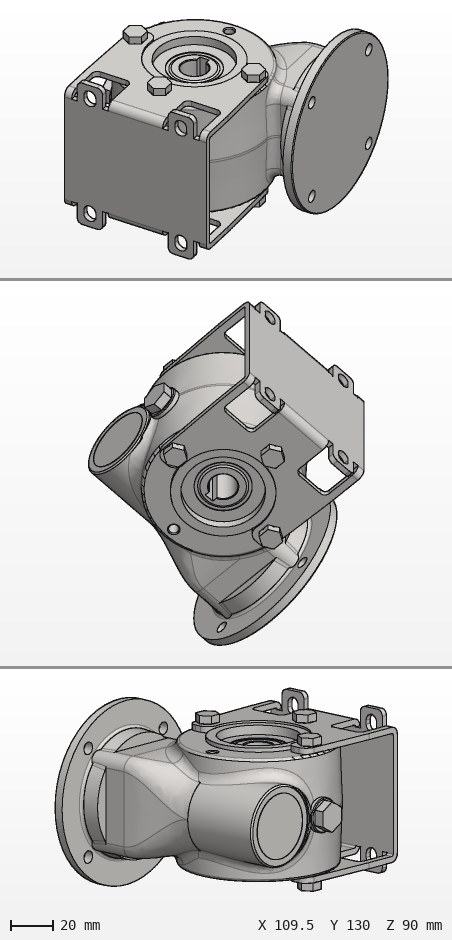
import cadquery as cq
import math


HOUSING_FACE_Z = 30.0
HOUSING_RADIUS = 39.8
HOUSING_DRAFT = 1.1
HOUSING_EDGE_FILLET = 1.3
PARTING_BAND = 1.2
PILOT_RADIUS = 25.0
PILOT_HEIGHT = 2.0
RECESS_DIAMETER = 40.0
RECESS_DEPTH = 4.6

SEAL_DIAMETER = 27.5
SHAFT_DIAMETER = 24.2
SEAL_GROOVE_DEPTH = 0.5
SHAFT_EDGE_CHAMFER = 1.1
BORE_DIAMETER = 14.0
BORE_CHAMFER = 0.4
KEYWAY_WIDTH = 5.0
KEYWAY_TOP = 9.3

BOLT_CIRCLE_RADIUS = 32.5
BOLT_ANGLES = (0, 180, 270)
THREAD_DIAMETER = 6.0
TAP_DIAMETER = 4.92
TAP_DEPTH = 10.0
DRILL_POINT_ANGLE = 118.0
BOLT_ACROSS_FLATS = 10.0
BOLT_HEAD_HEIGHT = 4.0
BOLT_FACE_DIAMETER = 8.9
BOLT_FACE_HEIGHT = 0.3

WORM_Y = 30.0
TUBE_RADIUS = 20.0
TUBE_END_X = -40.8
TUBE_EDGE_CHAMFER = 0.8
CAP_DIAMETER = 32.0
CAP_RECESS = 0.2
NECK_START_X = 36.4
NECK_HALF_WIDTH = 24.8
NECK_CORNER_RADIUS = 6.5
TRANSITION_STEPS = 4
ROUND_CORNER = 0.995 * TUBE_RADIUS
TUBE_BLEND = 6.0
NECK_BLEND = 5.0
EDGE_TOLERANCE = 0.3
EDGE_SAMPLES = (0.0, 0.3, 0.5, 0.8, 1.0)

FLANGE_FACE_X = 62.5
FLANGE_THICKNESS = 5.0
FLANGE_DIAMETER = 90.0
FLANGE_CHAMFER = 0.5
FLANGE_BOLT_CIRCLE = 75.0
FLANGE_HOLE_DIAMETER = 6.0
HUB_START_X = 47.8
HUB_START_RADIUS = 30.7
HUB_END_RADIUS = 31.4
HUB_FILLET = 1.4
HUB_CORNER_BLEND = 4.0

PLUG_END_X = -47.0
PLUG_COLLAR_X = -42.0
PLUG_ROOT_X = -38.0
PLUG_COLLAR_DIAMETER = 17.0
PLUG_COLLAR_CHAMFER = 0.5
PLUG_ACROSS_FLATS = 13.0

SHEET = 3.0
BEND_INNER = 1.0
BEND_OUTER = BEND_INNER + SHEET
BRACKET_HALF_WIDTH = 39.0
BRACKET_BACK_Y = -55.0
ARM_HALF_WIDTH = 38.0
ARM_TAPER_Y = -35.0
LOBE_TOP_Y = 7.8
LOBE_CORNER = 5.0
WINDOW_INNER_X = 15.0
WINDOW_OUTER_X = 35.0
WINDOW_TOP_Y = -33.0
WINDOW_CORNER = 3.0
TAB_X = 25.0
TAB_WIDTH = 14.0
TAB_END_Z = 40.0
TAB_CORNER = 3.0
SLOT_WIDTH = 6.5
SLOT_LENGTH = 8.5
SLOT_Z = 32.5

BRACKET_FACE_Z = HOUSING_FACE_Z + SHEET
FLANGE_BACK_X = FLANGE_FACE_X - FLANGE_THICKNESS


def section_at(x):
    """Plane across the worm axis at the given X; local x is +Y and local y is +Z."""
    return cq.Workplane("YZ", origin=(x, WORM_Y, 0))


def level(z):
    return cq.Workplane("XY", origin=(0, 0, z))


def hexagon(plane, across_flats, height):
    """Hexagonal prism with two corners on the local y axis."""
    corner_diameter = across_flats / math.cos(math.pi / 6)
    turned = plane.transformed(rotate=(0, 0, 90))
    return turned.polygon(6, corner_diameter).extrude(height)


def both_faces(shape):
    """The shape together with its mirror image below the mid plane."""
    return shape.union(shape.mirror("XY"))


def make_housing():
    """Drum that is drafted both ways from a narrow band at mid height."""
    half_band = PARTING_BAND / 2
    face_radius = HOUSING_RADIUS - HOUSING_DRAFT
    outline = [
        (0, -HOUSING_FACE_Z),
        (face_radius, -HOUSING_FACE_Z),
        (HOUSING_RADIUS, -half_band),
        (HOUSING_RADIUS, half_band),
        (face_radius, HOUSING_FACE_Z),
        (0, HOUSING_FACE_Z),
    ]
    drum = cq.Workplane("XZ").polyline(outline).close().revolve(360, (0, 0, 0), (0, 1, 0))
    return drum.rotate((0, 0, 0), (0, 0, 1), -90)


def rounded_square(half_width, corner_radius, offset=0.0):
    side = 2 * half_width
    square = cq.Sketch().rect(side, side).vertices().fillet(corner_radius)
    return square.moved(cq.Location(cq.Vector(0, 0, offset)))


def make_transition():
    """Smooth change from the round tube to the rounded-square neck."""
    sections = []
    for step in range(TRANSITION_STEPS + 1):
        t = step / TRANSITION_STEPS
        blend = t * t * (3 - 2 * t)
        half_width = TUBE_RADIUS + blend * (NECK_HALF_WIDTH - TUBE_RADIUS)
        corner = ROUND_CORNER + blend * (NECK_CORNER_RADIUS - ROUND_CORNER)
        sections.append(rounded_square(half_width, corner, t * NECK_START_X))
    return section_at(0).placeSketch(*sections).loft()


def make_neck():
    square = rounded_square(NECK_HALF_WIDTH, NECK_CORNER_RADIUS)
    neck = section_at(NECK_START_X).placeSketch(square)
    return neck.extrude(FLANGE_BACK_X - NECK_START_X)


def lies_on_drum(edge):
    """True for a joint edge that runs along the drum wall on the worm side."""
    distances = [math.hypot(edge.positionAt(t).x, edge.positionAt(t).y) for t in EDGE_SAMPLES]
    inner_limit = HOUSING_RADIUS - HOUSING_DRAFT - EDGE_TOLERANCE
    on_wall = inner_limit < min(distances) and max(distances) < HOUSING_RADIUS + EDGE_TOLERANCE
    box = edge.BoundingBox()
    below_face = max(abs(box.zmin), abs(box.zmax)) < HOUSING_FACE_Z - EDGE_TOLERANCE
    is_seam = edge.geomType() == "LINE" and box.zmin * box.zmax > HOUSING_DRAFT
    return on_wall and below_face and box.ymin > EDGE_TOLERANCE and not is_seam


def blend_with_housing(body, radius):
    joined = make_housing().union(body)
    joints = [edge for edge in joined.edges().vals() if lies_on_drum(edge)]
    return joined.newObject(joints).fillet(radius)


def make_body():
    """Housing, worm tube and neck, with the joints rounded."""
    tube_start_x = TUBE_END_X - TUBE_RADIUS
    tube = section_at(tube_start_x).circle(TUBE_RADIUS).extrude(-tube_start_x)
    tube_side = blend_with_housing(tube, TUBE_BLEND)
    excess = section_at(tube_start_x).circle(2 * TUBE_RADIUS).extrude(TUBE_RADIUS)
    tube_side = tube_side.cut(excess)
    neck_side = blend_with_housing(make_transition().union(make_neck()), NECK_BLEND)
    body = tube_side.union(neck_side)
    for direction in (">Z", "<Z"):
        body = body.faces(direction).edges().fillet(HOUSING_EDGE_FILLET)
    return body.cut(make_tube_end_cut())


def make_tube_end_cut():
    """Chamfer at the tube end and the shallow seat of its end cap."""
    chamfer_start_x = TUBE_END_X + TUBE_EDGE_CHAMFER
    end_ring = section_at(TUBE_END_X).circle(TUBE_RADIUS + TUBE_EDGE_CHAMFER).extrude(TUBE_EDGE_CHAMFER)
    end_cone = section_at(chamfer_start_x).circle(TUBE_RADIUS).extrude(-TUBE_EDGE_CHAMFER, taper=45)
    cap_seat = section_at(TUBE_END_X).circle(CAP_DIAMETER / 2).extrude(CAP_RECESS)
    return end_ring.cut(end_cone).union(cap_seat)


def revolve_about_worm(outline):
    return outline.close().revolve(360, (0, WORM_Y, 0), (1, WORM_Y, 0))


def make_hub():
    """Drafted hub behind the flange, flowing into the neck corners that stand out of it."""
    cone = revolve_about_worm(
        cq.Workplane("XY")
        .moveTo(HUB_START_X, WORM_Y)
        .lineTo(HUB_START_X, WORM_Y + HUB_START_RADIUS)
        .lineTo(FLANGE_BACK_X, WORM_Y + HUB_END_RADIUS)
        .lineTo(FLANGE_BACK_X, WORM_Y)
    )
    corners = section_at(HUB_START_X).placeSketch(rounded_square(NECK_HALF_WIDTH, NECK_CORNER_RADIUS))
    hub = cone.union(corners.extrude(FLANGE_BACK_X - HUB_START_X))
    joints = [edge for edge in hub.edges().vals() if runs_along_hub(edge)]
    return hub.newObject(joints).fillet(HUB_CORNER_BLEND)


def runs_along_hub(edge):
    box = edge.BoundingBox()
    middle = edge.positionAt(0.5)
    radius = math.hypot(middle.y - WORM_Y, middle.z)
    is_lengthwise = box.xmax - box.xmin > (FLANGE_BACK_X - HUB_START_X) / 2
    on_cone = HUB_START_RADIUS < radius < HUB_END_RADIUS
    return is_lengthwise and on_cone and abs(middle.z) > EDGE_TOLERANCE


def make_hub_foot():
    """Hollow rounding between the hub and the flange."""
    fillet_start_x = FLANGE_BACK_X - HUB_FILLET
    fillet_end_radius = HUB_END_RADIUS + HUB_FILLET
    arc_inset = HUB_FILLET * (1 - math.sqrt(0.5))
    return revolve_about_worm(
        cq.Workplane("XY")
        .moveTo(fillet_start_x, WORM_Y)
        .lineTo(fillet_start_x, WORM_Y + HUB_END_RADIUS)
        .threePointArc(
            (FLANGE_BACK_X - arc_inset, WORM_Y + HUB_END_RADIUS + arc_inset),
            (FLANGE_BACK_X, WORM_Y + fillet_end_radius),
        )
        .lineTo(FLANGE_BACK_X, WORM_Y)
    )


def make_motor_flange():
    """Round flange with its hub and four bolt holes."""
    flange = section_at(FLANGE_BACK_X).circle(FLANGE_DIAMETER / 2).extrude(FLANGE_THICKNESS)
    flange = flange.faces(">X").chamfer(FLANGE_CHAMFER)
    hole_spacing = FLANGE_BOLT_CIRCLE / math.sqrt(2)
    holes = (
        section_at(FLANGE_BACK_X)
        .rect(hole_spacing, hole_spacing, forConstruction=True)
        .vertices()
        .circle(FLANGE_HOLE_DIAMETER / 2)
        .extrude(FLANGE_THICKNESS)
    )
    return flange.union(make_hub_foot()).union(make_hub()).cut(holes)


def make_pilots():
    """Raised centring ring on each housing face."""
    return both_faces(level(HOUSING_FACE_Z).circle(PILOT_RADIUS).extrude(PILOT_HEIGHT))


def make_output_cuts():
    """Seal recesses, seal grooves, keyed bore and tapped holes."""
    pilot_z = HOUSING_FACE_Z + PILOT_HEIGHT
    floor_z = pilot_z - RECESS_DEPTH
    recess = level(floor_z).circle(RECESS_DIAMETER / 2).extrude(RECESS_DEPTH)

    groove = level(floor_z - SEAL_GROOVE_DEPTH).circle(SEAL_DIAMETER / 2).extrude(SEAL_GROOVE_DEPTH)
    shaft = level(floor_z - SHAFT_EDGE_CHAMFER).circle(SHAFT_DIAMETER / 2).extrude(SHAFT_EDGE_CHAMFER)
    shaft = shaft.faces(">Z").chamfer(SEAL_GROOVE_DEPTH, SHAFT_EDGE_CHAMFER)
    groove = groove.cut(shaft)

    bore_flare = level(floor_z).circle(BORE_DIAMETER / 2 + BORE_CHAMFER).extrude(-BORE_CHAMFER, taper=45)
    cuts = both_faces(recess.union(groove).union(bore_flare).union(make_tapped_hole()))
    bore = cq.Workplane("XY").circle(BORE_DIAMETER / 2).extrude(pilot_z, both=True)
    keyway = (
        cq.Workplane("XY")
        .center(0, KEYWAY_TOP / 2)
        .rect(KEYWAY_WIDTH, KEYWAY_TOP)
        .extrude(pilot_z, both=True)
    )
    return cuts.union(bore).union(keyway)


def make_tapped_hole():
    """Blind tapped hole on the +Y side of the +Z housing face."""
    tap_radius = TAP_DIAMETER / 2
    mouth_radius = THREAD_DIAMETER / 2
    point_depth = tap_radius / math.tan(math.radians(DRILL_POINT_ANGLE / 2))
    outline = [
        (0, 0),
        (mouth_radius, 0),
        (tap_radius, tap_radius - mouth_radius),
        (tap_radius, -TAP_DEPTH),
        (0, -TAP_DEPTH - point_depth),
    ]
    hole = cq.Workplane("XZ").polyline(outline).close().revolve(360, (0, 0, 0), (0, 1, 0))
    return hole.translate((0, BOLT_CIRCLE_RADIUS, HOUSING_FACE_Z))


def make_bolts():
    """Three hexagon heads on each bracket arm."""
    head_z = BRACKET_FACE_Z + BOLT_FACE_HEIGHT
    face = level(BRACKET_FACE_Z).circle(BOLT_FACE_DIAMETER / 2).extrude(BOLT_FACE_HEIGHT)
    head = face.union(hexagon(level(head_z), BOLT_ACROSS_FLATS, BOLT_HEAD_HEIGHT))
    bolts = cq.Workplane("XY")
    for angle in BOLT_ANGLES:
        x = BOLT_CIRCLE_RADIUS * math.cos(math.radians(angle))
        y = BOLT_CIRCLE_RADIUS * math.sin(math.radians(angle))
        bolts = bolts.union(head.translate((x, y, 0)))
    return both_faces(bolts)


def make_plug():
    """Filler plug on the -X side of the housing, level with the output axis."""
    collar_length = PLUG_ROOT_X - PLUG_COLLAR_X
    collar = cq.Workplane("YZ", origin=(PLUG_COLLAR_X, 0, 0))
    collar = collar.circle(PLUG_COLLAR_DIAMETER / 2).extrude(collar_length)
    collar = collar.faces("<X").chamfer(PLUG_COLLAR_CHAMFER)
    head_plane = cq.Workplane("YZ", origin=(PLUG_END_X, 0, 0))
    return collar.union(hexagon(head_plane, PLUG_ACROSS_FLATS, PLUG_COLLAR_X - PLUG_END_X))


def make_arm_outline():
    """Bracket arm seen along Z: two lobes beside the pilot, tapering out to the foot width."""
    lobe_side_y = LOBE_TOP_Y - LOBE_CORNER
    lobe_inner_x = math.sqrt(PILOT_RADIUS**2 - lobe_side_y**2)
    corner_inset = LOBE_CORNER * (1 - math.sqrt(0.5))
    corner_mid_y = LOBE_TOP_Y - corner_inset
    bend_y = BRACKET_BACK_Y + BEND_OUTER
    return (
        cq.Workplane("XY", origin=(0, 0, HOUSING_FACE_Z))
        .moveTo(-BRACKET_HALF_WIDTH, bend_y)
        .lineTo(-BRACKET_HALF_WIDTH, ARM_TAPER_Y)
        .lineTo(-ARM_HALF_WIDTH, lobe_side_y)
        .threePointArc(
            (-ARM_HALF_WIDTH + corner_inset, corner_mid_y), (-ARM_HALF_WIDTH + LOBE_CORNER, LOBE_TOP_Y)
        )
        .lineTo(-lobe_inner_x - LOBE_CORNER, LOBE_TOP_Y)
        .threePointArc((-lobe_inner_x - corner_inset, corner_mid_y), (-lobe_inner_x, lobe_side_y))
        .threePointArc((0, -PILOT_RADIUS), (lobe_inner_x, lobe_side_y))
        .threePointArc((lobe_inner_x + corner_inset, corner_mid_y), (lobe_inner_x + LOBE_CORNER, LOBE_TOP_Y))
        .lineTo(ARM_HALF_WIDTH - LOBE_CORNER, LOBE_TOP_Y)
        .threePointArc((ARM_HALF_WIDTH - corner_inset, corner_mid_y), (ARM_HALF_WIDTH, lobe_side_y))
        .lineTo(BRACKET_HALF_WIDTH, ARM_TAPER_Y)
        .lineTo(BRACKET_HALF_WIDTH, bend_y)
        .close()
    )


def make_bent_foot():
    """Back plate with the two bends that turn it into the arms."""
    depth = 2 * BEND_OUTER
    outer = (
        cq.Workplane("XY", origin=(0, BRACKET_BACK_Y + depth / 2, 0))
        .box(2 * BRACKET_HALF_WIDTH, depth, 2 * BRACKET_FACE_Z)
        .edges("|X and <Y")
        .fillet(BEND_OUTER)
    )
    inner = (
        cq.Workplane("XY", origin=(0, BRACKET_BACK_Y + SHEET + depth / 2, 0))
        .box(2 * BRACKET_HALF_WIDTH, depth, 2 * HOUSING_FACE_Z)
        .edges("|X and <Y")
        .fillet(BEND_INNER)
    )
    return outer.cut(inner)


def make_window(x):
    """Opening through the arm and its bend, down to the flat of the back plate."""
    bottom_y = BRACKET_BACK_Y - SHEET
    height = WINDOW_TOP_Y - bottom_y
    bend_start_z = BRACKET_FACE_Z - BEND_OUTER
    return (
        cq.Workplane("XY", origin=(x, bottom_y + height / 2, bend_start_z))
        .rect(WINDOW_OUTER_X - WINDOW_INNER_X, height)
        .extrude(BRACKET_FACE_Z - bend_start_z)
        .edges("|Z and >Y")
        .fillet(WINDOW_CORNER)
    )


def make_tab(x):
    """Mounting tab that continues the back plate."""
    root_z = BRACKET_FACE_Z - BEND_OUTER - SHEET
    length = TAB_END_Z - root_z
    tab = (
        cq.Workplane("XY", origin=(x, BRACKET_BACK_Y + SHEET / 2, root_z + length / 2))
        .box(TAB_WIDTH, SHEET, length)
        .edges("|Y and >Z")
        .fillet(TAB_CORNER)
    )
    return tab


def make_slot(x):
    slot = cq.Workplane("XZ", origin=(x, BRACKET_BACK_Y + SHEET, SLOT_Z))
    return slot.slot2D(SLOT_LENGTH, SLOT_WIDTH, 90).extrude(SHEET)


def make_bracket():
    bracket = make_bent_foot().union(both_faces(make_arm_outline().extrude(SHEET)))
    for x in (-TAB_X, TAB_X):
        bracket = bracket.cut(both_faces(make_window(x)))
        bracket = bracket.union(both_faces(make_tab(x)))
        bracket = bracket.cut(both_faces(make_slot(x)))
    return bracket


gearbox = make_body().union(make_motor_flange()).union(make_pilots()).union(make_plug())
gearbox = gearbox.cut(make_output_cuts())
result = gearbox.union(make_bracket()).union(make_bolts())